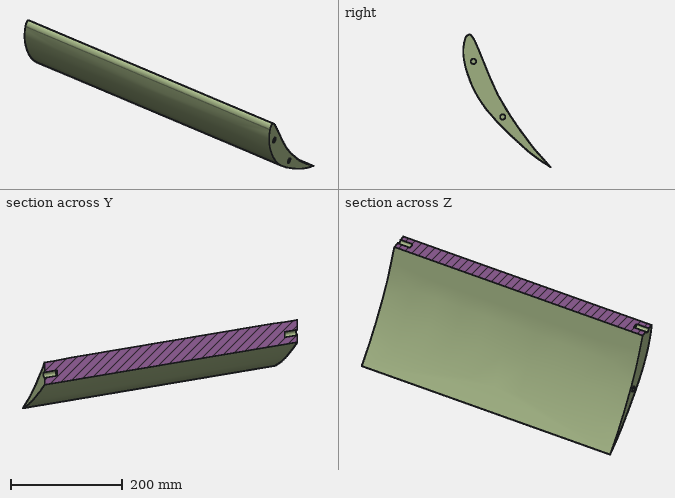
import cadquery as cq

span = 508.0
depth = 156.98
height = 237.78

trailing_edge = (depth, 0.0)
nose_edge = (3.4, 230.0)

front_points = [
    (0.0, 211.0),
    (4.4, 178.0),
    (17.1, 143.0),
    (40.1, 105.5),
    (77.9, 64.0),
    (118.3, 27.0),
]

back_points = [
    (126.8, 33.5),
    (91.4, 81.5),
    (62.6, 129.0),
    (43.0, 173.3),
    (27.8, 211.0),
    (19.9, 228.4),
    (15.8, 234.5),
    (11.5, height),
    (6.6, 235.5),
]

hole_diameter = 9.525
hole_depth = 25.0
hole_centers = [(18.4, 189.6), (70.8, 90.2)]


def make_vane_body():
    """Curved airfoil section extruded along the whole span."""
    return (
        cq.Workplane("YZ")
        .moveTo(*nose_edge)
        .spline(front_points + [trailing_edge], includeCurrent=True)
        .spline(back_points + [nose_edge], includeCurrent=True)
        .close()
        .extrude(span)
    )


def make_end_holes(start_x):
    """Pair of hole cylinders reaching hole_depth along +X from start_x."""
    return (
        cq.Workplane("YZ", origin=(start_x, 0, 0))
        .pushPoints(hole_centers)
        .circle(hole_diameter / 2)
        .extrude(hole_depth)
    )


result = make_vane_body()
for start_x in (0.0, span - hole_depth):
    result = result.cut(make_end_holes(start_x))